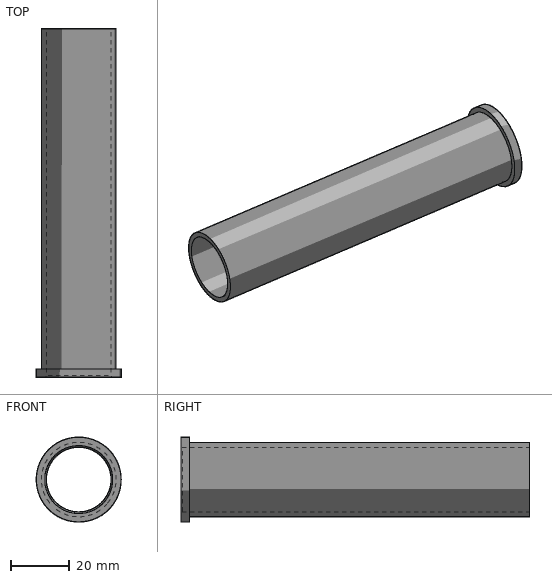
import cadquery as cq

length = 119.9
flange_diameter = 29.3
flange_thickness = 3.0
tube_diameter = 25.7
bore_diameter = 22.2
mouth_chamfer = 0.6


def cylinder_along_y(diameter, depth):
    """Cylinder centred on the Y axis, running from y = 0 to y = depth."""
    return cq.Workplane("XZ").circle(diameter / 2).extrude(-depth)


tube = cylinder_along_y(tube_diameter, length)
flange = cylinder_along_y(flange_diameter, flange_thickness)
bore = cylinder_along_y(bore_diameter, length)

body = tube.union(flange).cut(bore)
result = body.faces("<Y").edges(cq.selectors.RadiusNthSelector(0)).chamfer(mouth_chamfer)